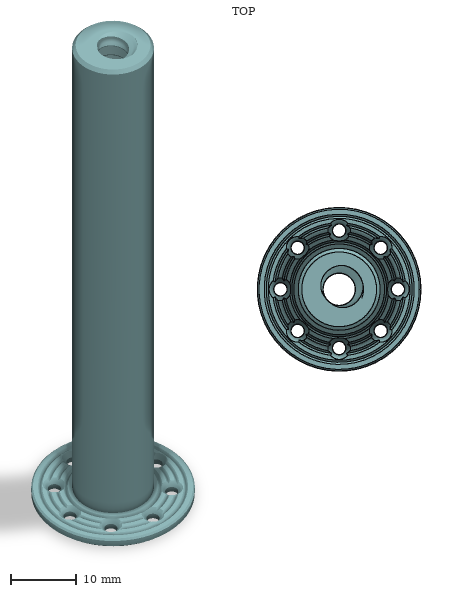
import cadquery as cq

height = 90.6
flange_diameter = 25.0
flange_thickness = 1.6
flange_top_chamfer = 0.3
flange_bottom_chamfer = 0.4
tube_diameter = flange_diameter / 2
tube_chamfer = 0.5
bore_diameter = 4.9

groove_count = 4
groove_width = 0.6
groove_depth = groove_width / 2
first_groove_radius = 7.25
last_groove_radius = 11.15
groove_pitch = (last_groove_radius - first_groove_radius) / (groove_count - 1)

hole_count = 8
hole_diameter = 2.0
hole_circle_diameter = 17.9
countersink_diameter = 3.4
countersink_angle = 90

thread_pitch = 1.8
thread_turns = 5
thread_root_radius = 3.7
thread_root_width = 0.4
thread_mouth_width = 1.7
thread_overlap = 0.045
thread_start_angle = 45


def make_flange():
    disc = cq.Workplane("XY").circle(flange_diameter / 2).extrude(flange_thickness)
    disc = disc.faces(">Z").edges().chamfer(flange_top_chamfer)
    return disc.faces("<Z").edges().chamfer(flange_bottom_chamfer)


def make_tube():
    tube = cq.Workplane("XY").circle(tube_diameter / 2).extrude(height)
    return tube.faces(">Z").edges().chamfer(tube_chamfer)


def make_groove(radius):
    """Ring with a V section, ready to cut from the top of the flange."""
    section = [
        (radius - groove_width / 2, flange_thickness),
        (radius, flange_thickness - groove_depth),
        (radius + groove_width / 2, flange_thickness),
    ]
    return cq.Workplane("XZ").polyline(section).close().revolve(360, (0, 0, 0), (0, 1, 0))


def make_thread():
    """Right-handed helical groove, running one turn past the top of the tube."""
    threaded_length = thread_turns * thread_pitch
    helix_height = threaded_length + thread_pitch
    inner_radius = bore_diameter / 2 - thread_overlap
    corners = [
        (inner_radius, -thread_mouth_width / 2),
        (thread_root_radius, -thread_root_width / 2),
        (thread_root_radius, thread_root_width / 2),
        (inner_radius, thread_mouth_width / 2),
    ]
    helices = []
    for radius, level in corners:
        helix = cq.Wire.makeHelix(thread_pitch, helix_height, radius)
        helices.append(helix.translate(cq.Vector(0, 0, level)).Edges()[0])

    faces = [cq.Face.makeRuledSurface(helices[i - 1], helices[i]) for i in range(len(helices))]
    for position in (0, 1):
        outline = cq.Wire.makePolygon([helix.positionAt(position) for helix in helices], close=True)
        faces.append(cq.Face.makeFromWires(outline))
    thread = cq.Workplane(cq.Solid.makeSolid(cq.Shell.makeShell(faces)))
    thread = thread.rotate((0, 0, 0), (0, 0, 1), thread_start_angle)
    return thread.translate((0, 0, height - threaded_length))


body = make_flange().union(make_tube())

for index in range(groove_count):
    body = body.cut(make_groove(first_groove_radius + index * groove_pitch))

body = (
    body.faces(">Z")
    .workplane(offset=flange_thickness - height)
    .polarArray(hole_circle_diameter / 2, 0, 360, hole_count)
    .cskHole(hole_diameter, countersink_diameter, countersink_angle)
)

body = body.faces(">Z").workplane().hole(bore_diameter)
result = body.cut(make_thread())